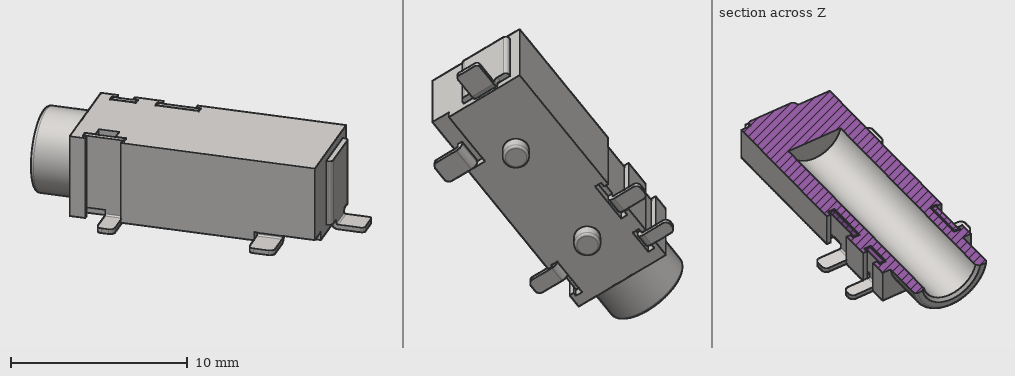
import cadquery as cq
import math


total_length = 19.0
total_width = 8.8
block_front = 2.5
block_back = 17.0
block_width = 6.0
block_height = 5.0
axis_height = block_height / 2
side_y = block_width / 2
barrel_diameter = block_height
barrel_edge_radius = 0.19
bore_diameter = 3.6
bore_depth = 14.0
mouth_chamfer = 0.19

peg_positions = (5.98, 13.05)
peg_diameter = 1.5
peg_length = 0.8
peg_edge_radius = 0.15

sheet = 0.3
inner_bend_radius = 0.1
foot_bottom = -0.11
plate_bottom = 0.51
foot_corner_radius = 0.3
clearance = 0.05
sheet_inner_y = 2.35
sheet_outer_y = sheet_inner_y + sheet
side_reach = total_width / 2 - sheet_inner_y
slot_inner_y = sheet_inner_y - clearance
lip_inner_y = sheet_outer_y + clearance

side_contacts = (
    {"plate": (3.3, 4.73), "foot": (3.6, 4.39), "opening": (3.53, 4.5)},
    {"plate": (5.98, 8.45), "foot": (6.33, 7.32), "opening": (6.21, 8.23)},
)

front_terminal = {"plate": (3.25, 5.59), "foot": (4.5, 5.53), "opening": (3.42, 5.53)}
pocket_span = (3.82, 5.02)
pocket_inner_y = 1.63
pocket_depth = 0.95

leg_foot = (13.49, 15.0)
leg_recess_start = leg_foot[0] - clearance
leg_recess_depth = 1.14

back_center_y = 0.76
back_plate_width = 3.2
back_plate_thickness = 0.35
back_foot_width = 1.5
back_plate_top = block_height - plate_bottom
back_plate_edge_radius = 0.25
back_shoulder_radius = 0.19
back_foot_corner_radius = 0.2


def box(x_span, y_span, z_span):
    """Box between a pair of limits on each axis, given in either order."""
    size = [abs(b - a) for a, b in (x_span, y_span, z_span)]
    corner = [min(span) for span in (x_span, y_span, z_span)]
    return cq.Workplane("XY").box(*size, centered=False).translate(tuple(corner))


def bent_foot(width, reach, corner_radius):
    """L-shaped strip: the sheet stands on X = 0..sheet, the foot points to +X, centred on Y = 0."""
    foot_top = foot_bottom + sheet
    outer_radius = inner_bend_radius + sheet
    bend_x = outer_radius
    bend_z = foot_bottom + outer_radius
    diagonal = math.sqrt(0.5)
    strip = (
        cq.Workplane("XZ")
        .moveTo(0, plate_bottom)
        .lineTo(0, bend_z)
        .threePointArc(
            (bend_x - outer_radius * diagonal, bend_z - outer_radius * diagonal), (bend_x, foot_bottom)
        )
        .lineTo(reach, foot_bottom)
        .lineTo(reach, foot_top)
        .lineTo(bend_x, foot_top)
        .threePointArc(
            (bend_x - inner_bend_radius * diagonal, bend_z - inner_bend_radius * diagonal), (sheet, bend_z)
        )
        .lineTo(sheet, plate_bottom)
        .close()
        .extrude(width / 2, both=True)
    )
    return strip.edges("|Z and >X").fillet(corner_radius)


def side_foot(foot_span, side):
    """Foot that leaves the housing on the +Y (side = 1) or -Y (side = -1) face."""
    start, end = foot_span
    foot = bent_foot(end - start, side_reach, foot_corner_radius)
    return foot.rotate((0, 0, 0), (0, 0, 1), 90 * side).translate(
        ((start + end) / 2, side * sheet_inner_y, 0)
    )


def side_terminal(terminal, side):
    """Upright plate, flush with the housing top, with a foot below it."""
    y_span = (side * sheet_inner_y, side * sheet_outer_y)
    plate = box(terminal["plate"], y_span, (plate_bottom, block_height))
    return plate.union(side_foot(terminal["foot"], side))


def back_terminal():
    """Plate against the back wall, with rounded shoulders down to a narrower foot."""
    half_width = back_plate_width / 2
    plate = box((0, back_plate_thickness), (-half_width, half_width), (plate_bottom, back_plate_top))
    plate = plate.edges("|Z and >X").fillet(back_plate_edge_radius)
    foot_start = back_plate_thickness - sheet
    reach = total_length - block_back - foot_start
    foot = bent_foot(back_foot_width, reach, back_foot_corner_radius).translate((foot_start, 0, 0))
    terminal = plate.union(foot)
    half_foot = back_foot_width / 2
    for side in (-1, 1):
        corner = (foot_start + sheet / 2, side * half_foot, plate_bottom)
        shoulder = cq.selectors.NearestToPointSelector(corner)
        terminal = terminal.edges("|X").edges(shoulder).fillet(back_shoulder_radius)
    return terminal.translate((block_back, back_center_y, 0))


def shell():
    """Block with the round barrel in front and the jack bore."""
    block = box((block_front, block_back), (-side_y, side_y), (0, block_height))
    barrel = (
        cq.Workplane("YZ")
        .center(0, axis_height)
        .circle(barrel_diameter / 2)
        .extrude(block_front)
        .faces("<X")
        .edges()
        .fillet(barrel_edge_radius)
    )
    bore = cq.Workplane("YZ").center(0, axis_height).circle(bore_diameter / 2).extrude(bore_depth)
    mouth = cq.Workplane(
        cq.Solid.makeCone(
            bore_diameter / 2 + mouth_chamfer,
            bore_diameter / 2,
            mouth_chamfer,
            pnt=cq.Vector(0, 0, axis_height),
            dir=cq.Vector(1, 0, 0),
        )
    )
    return block.union(barrel).cut(bore).cut(mouth)


def peg(x):
    """Round peg below the housing with a rounded tip."""
    return (
        cq.Workplane("XY")
        .center(x, 0)
        .circle(peg_diameter / 2)
        .extrude(-peg_length)
        .faces("<Z")
        .edges()
        .fillet(peg_edge_radius)
    )


def side_slot(terminal, side):
    """T-shaped slot that leaves a clearance all round the plate of a side terminal."""
    start, end = terminal["plate"]
    full_height = (0, block_height)
    slot = box(
        (start - clearance, end + clearance), (side * slot_inner_y, side * lip_inner_y), full_height
    )
    return slot.union(box(terminal["opening"], (side * lip_inner_y, side * side_y), full_height))


def spring_pocket():
    """Pocket in the top that opens into the slot of the front terminal."""
    return box(pocket_span, (-slot_inner_y, -pocket_inner_y), (block_height - pocket_depth, block_height))


def leg_recess():
    """Recess along the lower -Y edge, open at the back."""
    return box((leg_recess_start, block_back), (-side_y, leg_recess_depth - side_y), (0, plate_bottom))


def make_housing():
    """Housing with its pegs and the three terminals fixed in it."""
    body = shell().cut(side_slot(front_terminal, -1)).cut(spring_pocket()).cut(leg_recess())
    for contact in side_contacts:
        body = body.cut(side_slot(contact, 1))
    for x in peg_positions:
        body = body.union(peg(x))
    body = body.union(side_terminal(front_terminal, -1))
    body = body.union(side_foot(leg_foot, -1))
    return body.union(back_terminal())


def make_side_contact(contact):
    """Loose contact that sits in its slot on +Y."""
    return side_terminal(contact, 1)


housing = make_housing()
contacts = [make_side_contact(contact) for contact in side_contacts]

result = cq.Compound.makeCompound([housing.val(), *[contact.val() for contact in contacts]])